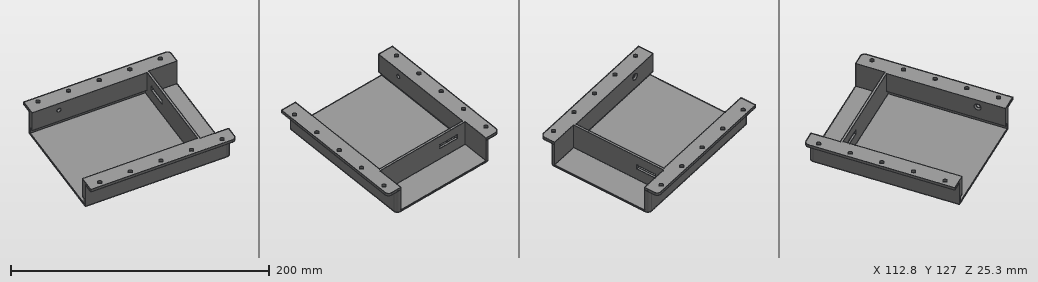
import cadquery as cq

length = 127.0
overall_width = 112.8
height = 25.3

flange_width = 9.0
flange_thickness = 2.5
tray_width = overall_width - 2 * flange_width
wall_thickness = 5.1
floor_thickness = 1.5
undercut_wall = 2.0
undercut_top = 6.6
corner_radius = 3.5

bay_length = 24.8
bay_wall = 4.1
partition_thickness = 1.9
partition_rear = length - bay_length
partition_front = partition_rear - partition_thickness

slot_length = 18.0
slot_height = 4.0
slot_center_x = -26.4
slot_center_z = 14.4

mount_diameter = 3.3
mount_count = 5
mount_pitch = 26.7
mount_spacing = overall_width - flange_width
side_diameter = 3.5
side_hole_y = 23.5
side_hole_z = 18.2
screw_diameter = 3.3
sink_diameter = 6.0
sink_depth = (sink_diameter - screw_diameter) / 2


def block(width, front, rear, bottom, top, center_x=0):
    """Box centred on center_x, between the given Y and Z limits."""
    shape = cq.Workplane("XY").box(width, rear - front, top - bottom, centered=(True, False, False))
    return shape.translate((center_x, front, bottom))


def make_body():
    """Solid tray under a full-width flange plate, both with rounded rear corners."""
    tray = block(tray_width, 0, length, 0, height)
    tray = tray.edges("|Z and >Y").fillet(corner_radius)
    flanges = block(overall_width, 0, length, height - flange_thickness, height)
    flanges = flanges.edges("|Z and >Y").fillet(corner_radius)
    return tray.union(flanges)


def make_front_pocket():
    """Main compartment, wider next to the floor."""
    pocket = block(tray_width - 2 * wall_thickness, 0, partition_front, floor_thickness, height)
    undercut = block(tray_width - 2 * undercut_wall, 0, partition_front, floor_thickness, undercut_top)
    return pocket.union(undercut)


def make_rear_bay():
    """Bay open to the rear, behind the partition."""
    return block(tray_width - 2 * bay_wall, partition_rear, length, floor_thickness, height)


def make_slot():
    """Rectangular opening through the partition."""
    bottom = slot_center_z - slot_height / 2
    return block(slot_length, partition_front, partition_rear, bottom, bottom + slot_height, slot_center_x)


def make_mount_holes():
    """Row of screw holes through each flange."""
    return (
        cq.Workplane("XY")
        .center(0, length / 2)
        .rarray(mount_spacing, mount_pitch, 2, mount_count)
        .circle(mount_diameter / 2)
        .extrude(height)
    )


def side_hole_sketch(x, diameter):
    """Circle on the cross-hole axis, in the plane at the given X."""
    plane = cq.Workplane("YZ", origin=(x, side_hole_y, side_hole_z))
    return plane.circle(diameter / 2)


def make_access_hole():
    """Screwdriver access hole through the -X wall."""
    return side_hole_sketch(-tray_width / 2, side_diameter).extrude(wall_thickness)


def make_screw_hole():
    """Screw hole through the +X wall, countersunk at 90 degrees from inside."""
    inner_face = tray_width / 2 - wall_thickness
    bore = side_hole_sketch(inner_face, screw_diameter).extrude(wall_thickness)
    sink = (
        side_hole_sketch(inner_face, sink_diameter)
        .workplane(offset=sink_depth)
        .circle(screw_diameter / 2)
        .loft()
    )
    return bore.union(sink)


result = make_body()
cutters = (
    make_front_pocket(),
    make_rear_bay(),
    make_slot(),
    make_mount_holes(),
    make_access_hole(),
    make_screw_hole(),
)
for cutter in cutters:
    result = result.cut(cutter)